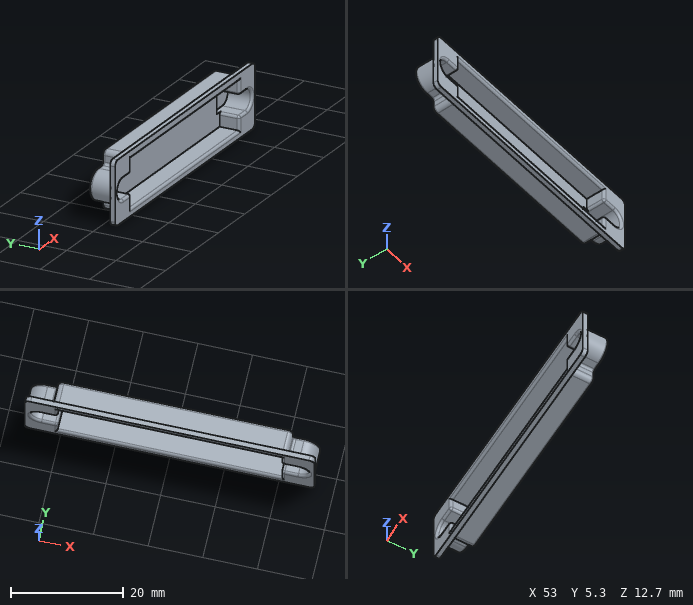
import cadquery as cq

length = 53.0
height = 12.7
total_depth = 5.3
flange_thickness = 1.0
flange_corner_radius = 1.0

wall = 1.0
rim_radius = 0.5
back_edge_radius = 0.5
body_corner_radius = 1.0
lobe_blend_radius = 0.5

cavity_length = 41.0
cavity_height = 9.6
cavity_depth = 4.0

slot_radius = 2.0
slot_depth = 5.0
slot_span = length - 2 * wall
ramp_length = slot_depth - cavity_depth

selection_margin = 0.25

body_length = cavity_length + 2 * wall
body_height = cavity_height + 2 * wall
lobe_radius = slot_radius + wall


def plate(size_x, size_z, start_y, end_y):
    """Centred rectangular block between two y positions."""
    return cq.Workplane("XY").box(size_x, end_y - start_y, size_z).translate((0, (start_y + end_y) / 2, 0))


def long_slot(span, radius, start_y, end_y):
    """Round-ended block along X between two y positions."""
    profile = cq.Workplane("XZ", origin=(0, start_y, 0)).slot2D(span, 2 * radius)
    return profile.extrude(-(end_y - start_y))


def centred_zone(size_x, size_z, end_y):
    """Selector for edges centred within a block from y = 0, widened slightly to include its border."""
    half_x = size_x / 2 + selection_margin
    half_z = size_z / 2 + selection_margin
    return cq.selectors.BoxSelector(
        (-half_x, -selection_margin, -half_z),
        (half_x, end_y + selection_margin, half_z),
    )


def make_flange():
    flange = plate(length, height, 0, flange_thickness)
    return flange.edges("|Y").fillet(flange_corner_radius)


def make_body():
    """Rounded box with a lobe at each end, blended together and rounded at the back."""
    box = plate(body_length, body_height, 0, total_depth)
    box = box.edges("|Y").fillet(body_corner_radius)
    body = box.union(long_slot(length, lobe_radius, 0, total_depth))
    inner_corners = centred_zone(body_length, 2 * lobe_radius, total_depth)
    body = body.edges("|Y").edges(inner_corners).fillet(lobe_blend_radius)
    return body.faces(">Y").edges().fillet(back_edge_radius)


def make_ramped_slots():
    """Slot cutter whose floor climbs to the cavity floor inside each cavity end."""
    ramp_start = cavity_length / 2
    ramp_end = ramp_start - ramp_length
    floor_bridge = (
        cq.Workplane("XY", origin=(0, 0, -height / 2))
        .moveTo(-ramp_start, slot_depth)
        .lineTo(-ramp_end, cavity_depth)
        .lineTo(ramp_end, cavity_depth)
        .lineTo(ramp_start, slot_depth)
        .close()
        .extrude(height)
    )
    return long_slot(slot_span, slot_radius, 0, slot_depth).cut(floor_bridge)


def make_recess():
    """Cavity and slots, with the upright edges where they meet rounded."""
    recess = plate(cavity_length, cavity_height, 0, cavity_depth).union(make_ramped_slots())
    meeting_corners = centred_zone(cavity_length, 2 * slot_radius, total_depth)
    return recess.edges("|Y").edges(meeting_corners).fillet(rim_radius)


shell = make_flange().union(make_body()).cut(make_recess())
rim = shell.faces("<Y").edges(centred_zone(slot_span, cavity_height, total_depth))
result = rim.fillet(rim_radius)